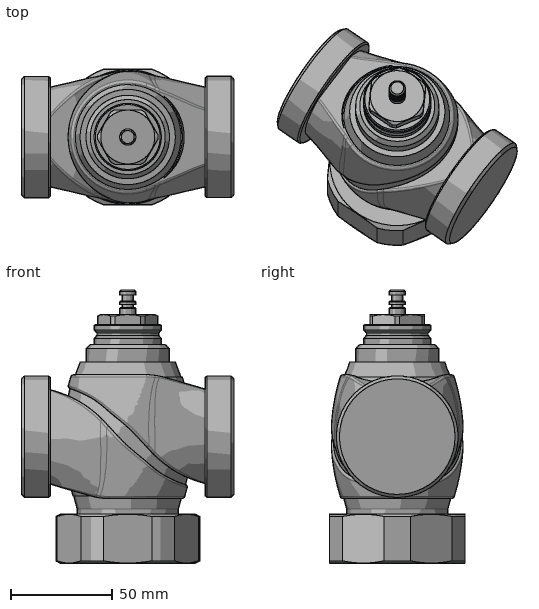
import cadquery as cq
import math


PORT_FACE_X = 52.5
TOP_Z = 72.5
BOTTOM_Z = -62.5
OVERLAP = 1.0

PORT_DIAMETER = 60.0
PORT_INNER_X = 38.2
PORT_OUTER_CHAMFER = 1.5
PORT_INNER_CHAMFER = 0.8

BARREL_RADIUS = 32.7
BARREL_SIDE_RADIUS = 98.0
RIM_Z = 30.6
GROOVE_DEPTH = 1.2
RIM_FILLET = 1.6
GROOVE_FILLET = 1.2
BLEND_RADIUS = 20.0

BRANCH_END_X = PORT_INNER_X + 0.2

BRANCH_SECTIONS = [
    (6.0, 31.2, 31.0, 26.6, 26.6),
    (16.0, 29.8, 30.5, 22.9, 22.0),
    (27.0, 27.3, 28.2, 17.2, 14.0),
    (BRANCH_END_X, 24.6, 24.6, 12.0, 7.5),
]

BRANCH_TOP = [(9.0, RIM_Z), (24.0, 27.6), (BRANCH_END_X, 23.4)]
BRANCH_TOP_END_SLOPE = -0.33
GROOVE_EDGE = [(BRANCH_END_X, -23.2), (30.0, -20.4), (23.5, -17.1), (15.4, -11.2), (0.0, 4.6),
               (-8.1, 11.4), (-15.4, 17.4), (-23.5, 21.8), (-32.0, 24.8)]

CREASE_BOX_LOW = (8, -BARREL_RADIUS, 8)
CREASE_BOX_HIGH = (20, BARREL_RADIUS, 16)
GROOVE_EDGE_MIDDLE = (-13.0, 0, 14.0)
UNTRIMMED_MARGIN = 3.0

CONE_TOP_Z = 36.9
CONE_TOP_RADIUS = 23.5
CONE_FOOT_Z = 25.0
CONE_FOOT_RADIUS = 28.0
SHOULDER_RADIUS = 20.6
SHOULDER_Z = 45.5
SHOULDER_CHAMFER = 2.1
THREAD_RADIUS = 16.6
THREAD_GROOVE_RADIUS = 15.3
THREAD_GROOVE_Z = (49.1, 52.0)
THREAD_GROOVE_FLANK = 0.9
THREAD_TOP_Z = 55.4
THREAD_CHAMFER = 0.6

GLAND_FLATS = 26.9
GLAND_CORNER_DIAMETER = 29.8
GLAND_TOP_Z = 60.3
GLAND_CHAMFER_HEIGHT = 0.8
GLAND_CHAMFER_RADIAL = 1.6

STEM_RADIUS = 4.0
STEM_WAIST_RADIUS = 2.8
STEM_SHANK_TOP_Z = 63.7
STEM_RING_Z = (65.2, 66.9)
STEM_HEAD_Z = 69.8
STEM_CHAMFER = 0.4
STEM_HEAD_CHAMFER = 0.8

SPIGOT_RADIUS = 25.0
SPIGOT_TAPER_START_Z = -35.8
SPIGOT_TOP_RADIUS = 27.6
SPIGOT_TOP_Z = -26.0
NUT_FLATS = 67.0
NUT_CORNER_DIAMETER = 71.1
NUT_TOP_Z = -38.2
NUT_CHAMFER_RADIAL = 2.3
NUT_CHAMFER_HEIGHT = 1.2


def turned(points):
    """Solid turned about Z from an (r, z) outline that starts and ends on the axis."""
    return cq.Workplane("XZ").polyline(points).close().revolve(360, (0, 0), (0, 1))


def barrel(radius, end_z):
    """Barrel of the given radius at mid height, cut flat at z = -end_z and z = end_z."""
    end_drop = BARREL_SIDE_RADIUS - math.sqrt(BARREL_SIDE_RADIUS**2 - end_z**2)
    end_radius = radius - end_drop
    return (
        cq.Workplane("XZ")
        .moveTo(0, -end_z)
        .lineTo(end_radius, -end_z)
        .threePointArc((radius, 0), (end_radius, end_z))
        .lineTo(0, end_z)
        .close()
        .revolve(360, (0, 0), (0, 1))
    )


def branch_section(x, half_width, half_height, top_half_width, bottom_half_width):
    """Closed section across the branch: bulged sides, flat top and bottom."""
    return (
        cq.Workplane("YZ", origin=(x, 0, 0))
        .moveTo(bottom_half_width, -half_height)
        .threePointArc((half_width, 0), (top_half_width, half_height))
        .lineTo(-top_half_width, half_height)
        .threePointArc((-half_width, 0), (-bottom_half_width, -half_height))
        .close()
        .val()
    )


def upper_body_half():
    """Barrel and +X branch, kept above the diagonal groove edge and below the branch top."""
    sections = [branch_section(*section) for section in BRANCH_SECTIONS]
    branch = cq.Workplane(cq.Solid.makeLoft(sections))
    groove_end_x = GROOVE_EDGE[-1][0]
    reach = BARREL_RADIUS + UNTRIMMED_MARGIN
    outline = (
        cq.Workplane("XZ", origin=(0, reach, 0))
        .moveTo(groove_end_x, RIM_Z)
        .lineTo(*BRANCH_TOP[0])
        .spline(BRANCH_TOP[1:], tangents=[(1, 0), (1, BRANCH_TOP_END_SLOPE)], includeCurrent=True)
        .lineTo(*GROOVE_EDGE[0])
        .spline(GROOVE_EDGE[1:], includeCurrent=True)
        .close()
        .extrude(2 * reach)
    )
    half = barrel(BARREL_RADIUS, RIM_Z + UNTRIMMED_MARGIN).union(branch).intersect(outline)
    creases = half.edges(cq.selectors.BoxSelector(CREASE_BOX_LOW, CREASE_BOX_HIGH))
    half = creases.fillet(BLEND_RADIUS)
    half = half.faces(">Z").edges("<X").fillet(RIM_FILLET)
    groove_edge = half.edges(cq.selectors.NearestToPointSelector(GROOVE_EDGE_MIDDLE))
    return groove_edge.fillet(GROOVE_FILLET)


def port(side):
    """Blank port collar on the +X (side = 1) or -X (side = -1) end."""
    collar = (
        cq.Workplane("YZ", origin=(PORT_INNER_X, 0, 0))
        .circle(PORT_DIAMETER / 2)
        .extrude(PORT_FACE_X - PORT_INNER_X)
        .faces(">X").chamfer(PORT_OUTER_CHAMFER)
        .faces("<X").chamfer(PORT_INNER_CHAMFER)
    )
    return collar if side > 0 else collar.rotate((0, 0, 0), (0, 0, 1), 180)


def bonnet():
    """Cone, shoulder and threaded top with its groove."""
    groove_low, groove_high = THREAD_GROOVE_Z
    c = THREAD_CHAMFER
    return turned([
        (0, CONE_FOOT_Z),
        (CONE_FOOT_RADIUS, CONE_FOOT_Z),
        (CONE_TOP_RADIUS, CONE_TOP_Z),
        (SHOULDER_RADIUS, CONE_TOP_Z),
        (SHOULDER_RADIUS, SHOULDER_Z - SHOULDER_CHAMFER),
        (SHOULDER_RADIUS - SHOULDER_CHAMFER, SHOULDER_Z),
        (THREAD_RADIUS, SHOULDER_Z),
        (THREAD_RADIUS, groove_low - c),
        (THREAD_RADIUS - c, groove_low),
        (THREAD_GROOVE_RADIUS, groove_low + THREAD_GROOVE_FLANK),
        (THREAD_GROOVE_RADIUS, groove_high - THREAD_GROOVE_FLANK),
        (THREAD_RADIUS - c, groove_high),
        (THREAD_RADIUS, groove_high + c),
        (THREAD_RADIUS, THREAD_TOP_Z - c),
        (THREAD_RADIUS - c, THREAD_TOP_Z),
        (0, THREAD_TOP_Z),
    ])


def hexagon(flats, bottom_z, top_z):
    """Hexagonal prism with corners on the X axis."""
    corners = flats / math.cos(math.pi / 6)
    return cq.Workplane("XY", origin=(0, 0, bottom_z)).polygon(6, corners).extrude(top_z - bottom_z)


def gland():
    """Gland hexagon with turned-down corners and a chamfered top."""
    radius = GLAND_CORNER_DIAMETER / 2
    envelope = turned([
        (0, THREAD_TOP_Z - OVERLAP),
        (radius, THREAD_TOP_Z - OVERLAP),
        (radius, GLAND_TOP_Z - GLAND_CHAMFER_HEIGHT),
        (radius - GLAND_CHAMFER_RADIAL, GLAND_TOP_Z),
        (0, GLAND_TOP_Z),
    ])
    return hexagon(GLAND_FLATS, THREAD_TOP_Z - OVERLAP, GLAND_TOP_Z).intersect(envelope)


def stem():
    """Stem with shank, ring and head separated by waists."""
    ring_low, ring_high = STEM_RING_Z
    c = STEM_CHAMFER
    return turned([
        (0, GLAND_TOP_Z - OVERLAP),
        (STEM_RADIUS, GLAND_TOP_Z - OVERLAP),
        (STEM_RADIUS, STEM_SHANK_TOP_Z - c),
        (STEM_RADIUS - c, STEM_SHANK_TOP_Z),
        (STEM_WAIST_RADIUS, STEM_SHANK_TOP_Z),
        (STEM_WAIST_RADIUS, ring_low),
        (STEM_RADIUS, ring_low),
        (STEM_RADIUS, ring_high - c),
        (STEM_RADIUS - c, ring_high),
        (STEM_WAIST_RADIUS, ring_high),
        (STEM_WAIST_RADIUS, STEM_HEAD_Z),
        (STEM_RADIUS, STEM_HEAD_Z),
        (STEM_RADIUS, TOP_Z - STEM_HEAD_CHAMFER),
        (STEM_RADIUS - STEM_HEAD_CHAMFER, TOP_Z),
        (0, TOP_Z),
    ])


def spigot():
    """Tapered neck between the body and the union nut."""
    return turned([
        (0, NUT_TOP_Z - OVERLAP),
        (SPIGOT_RADIUS, NUT_TOP_Z - OVERLAP),
        (SPIGOT_RADIUS, SPIGOT_TAPER_START_Z),
        (SPIGOT_TOP_RADIUS, SPIGOT_TOP_Z),
        (0, SPIGOT_TOP_Z),
    ])


def union_nut():
    """Union nut: hexagon with turned-down corners, chamfered at both ends."""
    radius = NUT_CORNER_DIAMETER / 2
    end_radius = radius - NUT_CHAMFER_RADIAL
    envelope = turned([
        (0, BOTTOM_Z),
        (end_radius, BOTTOM_Z),
        (radius, BOTTOM_Z + NUT_CHAMFER_HEIGHT),
        (radius, NUT_TOP_Z - NUT_CHAMFER_HEIGHT),
        (end_radius, NUT_TOP_Z),
        (0, NUT_TOP_Z),
    ])
    return hexagon(NUT_FLATS, BOTTOM_Z, NUT_TOP_Z).intersect(envelope)


upper_half = upper_body_half()
lower_half = upper_half.rotate((0, 0, 0), (0, 1, 0), 180)

groove_floor = barrel(BARREL_RADIUS - GROOVE_DEPTH, RIM_Z - GROOVE_DEPTH)
result = groove_floor.union(upper_half).union(lower_half)
for piece in (port(1), port(-1), bonnet(), gland(), stem(), spigot(), union_nut()):
    result = result.union(piece)